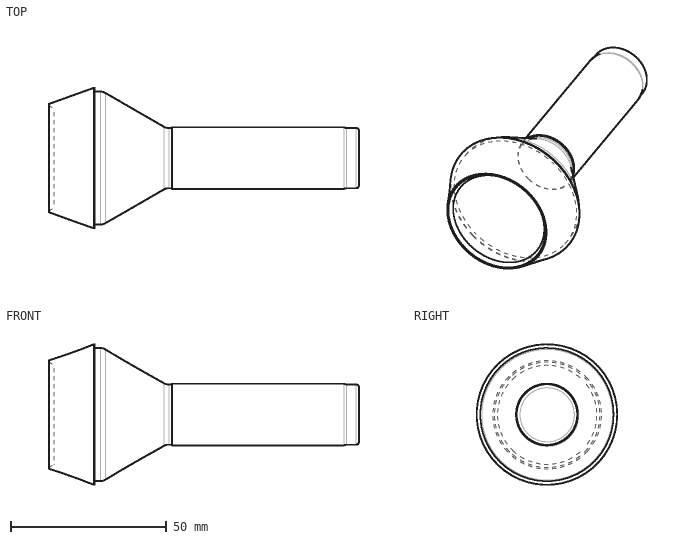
import cadquery as cq
import math

TOTAL_LENGTH = 100.0

CAP_LENGTH = 14.8
CAP_FRONT_RADIUS = 17.5
CAP_REAR_RADIUS = 22.7
CAP_LAND_WIDTH = 0.3
RIM_WIDTH = 0.5
RECESS_DEPTH = 1.5
RECESS_FLOOR_RADIUS = 16.0

HEAD_RADIUS = 43.0 / 2
JOURNAL_RADIUS = 20.0 / 2
RELIEF_RADIUS = 19.5 / 2
CONE_ANGLE = math.radians(30)
CONE_BLEND_RADIUS = 3.0
HEAD_BLEND_START = 16.6
JOURNAL_START = 39.8
JOURNAL_END = 95.0
TAIL_START = 95.8
TAIL_FILLET = 1.0


def turn(profile):
    """Revolve a closed X-radius profile about the X axis."""
    return profile.close().revolve(360, (0, 0, 0), (1, 0, 0))


def make_cap():
    recess_rim_radius = CAP_FRONT_RADIUS - RIM_WIDTH
    profile = (
        cq.Workplane("XY")
        .moveTo(RECESS_DEPTH, 0)
        .lineTo(RECESS_DEPTH, RECESS_FLOOR_RADIUS)
        .lineTo(0, recess_rim_radius)
        .lineTo(0, CAP_FRONT_RADIUS)
        .lineTo(CAP_LENGTH - CAP_LAND_WIDTH, CAP_REAR_RADIUS)
        .lineTo(CAP_LENGTH, CAP_REAR_RADIUS)
        .lineTo(CAP_LENGTH, 0)
    )
    return turn(profile)


def blend_offset(angle):
    """Axial run and radial drop along a cone blend that has turned by the given angle."""
    run = CONE_BLEND_RADIUS * math.sin(angle)
    drop = CONE_BLEND_RADIUS * (1 - math.cos(angle))
    return run, drop


def make_stem():
    blend_run, blend_drop = blend_offset(CONE_ANGLE)
    middle_run, middle_drop = blend_offset(CONE_ANGLE / 2)

    cone_start = HEAD_BLEND_START + blend_run
    cone_drop = HEAD_RADIUS - RELIEF_RADIUS - 2 * blend_drop
    cone_end = cone_start + cone_drop / math.tan(CONE_ANGLE)
    relief_start = cone_end + blend_run
    journal_step = JOURNAL_RADIUS - RELIEF_RADIUS

    profile = (
        cq.Workplane("XY")
        .moveTo(CAP_LENGTH, 0)
        .lineTo(CAP_LENGTH, HEAD_RADIUS)
        .lineTo(HEAD_BLEND_START, HEAD_RADIUS)
        .threePointArc(
            (HEAD_BLEND_START + middle_run, HEAD_RADIUS - middle_drop),
            (cone_start, HEAD_RADIUS - blend_drop),
        )
        .lineTo(cone_end, RELIEF_RADIUS + blend_drop)
        .threePointArc(
            (relief_start - middle_run, RELIEF_RADIUS + middle_drop),
            (relief_start, RELIEF_RADIUS),
        )
        .lineTo(JOURNAL_START - journal_step, RELIEF_RADIUS)
        .lineTo(JOURNAL_START, JOURNAL_RADIUS)
        .lineTo(JOURNAL_END, JOURNAL_RADIUS)
        .lineTo(TAIL_START, RELIEF_RADIUS)
        .lineTo(TOTAL_LENGTH, RELIEF_RADIUS)
        .lineTo(TOTAL_LENGTH, 0)
    )
    return turn(profile).faces(">X").edges().fillet(TAIL_FILLET)


cap = make_cap()
stem = make_stem()

result = cq.Compound.makeCompound([cap.val(), stem.val()])